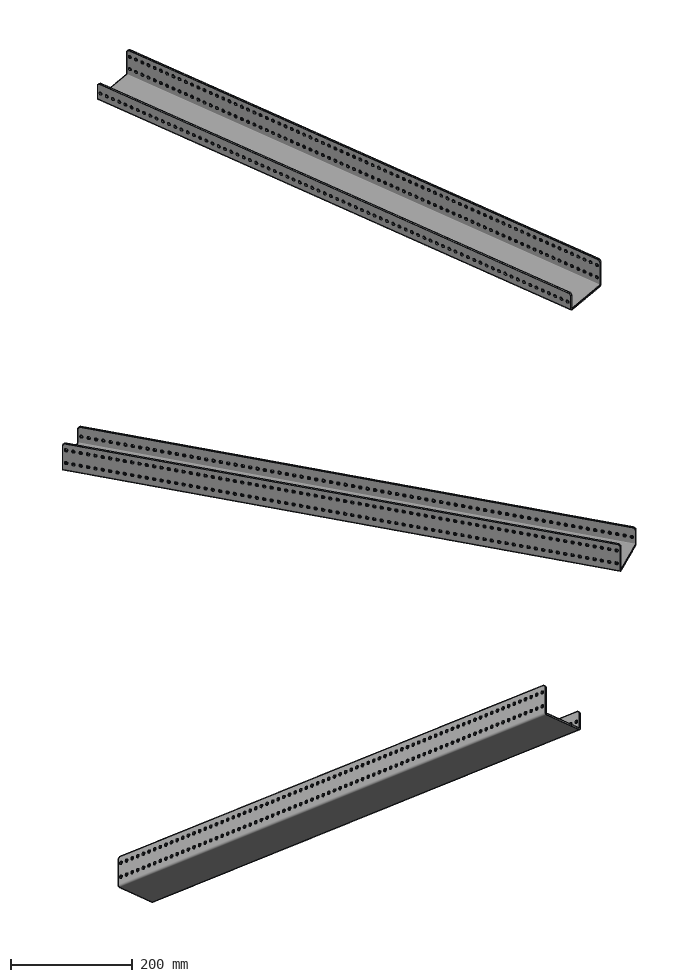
import cadquery as cq

length = 965.0
width = 85.0
rear_height = 54.0
front_height = 35.0
thickness = 3.4
outer_bend_radius = 4.1
inner_bend_radius = outer_bend_radius - thickness
corner_chamfer = 3.5

hole_count = 76
hole_pitch = length / hole_count
hole_diameter = 5.6
lower_row_height = 16.0
upper_row_height = lower_row_height + 2 * hole_pitch

half_width = width / 2


def bent_sheet(height, bend_radius, inset):
    """Block with rounded lower edges, inset from the outer faces of the channel."""
    block_width = width - 2 * inset
    block = cq.Workplane("XY").workplane(offset=inset).rect(length, block_width).extrude(height - inset)
    return block.edges("|X and <Z").fillet(bend_radius)


def wall_profile(height):
    """Full-width block up to a wall's top, with the top corner at each end chamfered."""
    block = cq.Workplane("XY").box(length, width, height, centered=(True, True, False))
    return block.edges("|Y and >Z").chamfer(corner_chamfer)


def make_channel():
    """U-shaped channel along X, with its front wall cut down to the lower height."""
    outer = bent_sheet(rear_height, outer_bend_radius, 0)
    cavity = bent_sheet(rear_height, inner_bend_radius, thickness)
    channel = outer.cut(cavity).intersect(wall_profile(rear_height))

    front_half = cq.Workplane("XY").box(length, half_width, rear_height, centered=(True, False, False))
    front_half = front_half.translate((0, -half_width, 0))
    return channel.cut(front_half.cut(wall_profile(front_height)))


def hole_row(height, start_y, depth):
    """Cylinders along +Y for one row of holes, beginning at start_y."""
    plane = cq.Plane(origin=(0, start_y, height), xDir=(1, 0, 0), normal=(0, 1, 0))
    row = cq.Workplane(plane).rarray(hole_pitch, 10, hole_count, 1)
    return row.circle(hole_diameter / 2).extrude(depth)


lower_holes = hole_row(lower_row_height, -half_width, width)
upper_holes = hole_row(upper_row_height, 0, half_width)

result = make_channel().cut(lower_holes).cut(upper_holes)